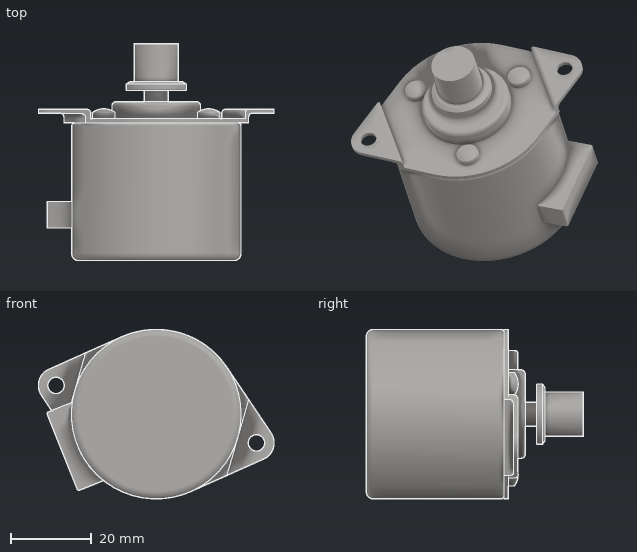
import cadquery as cq
import math


can_radius = 21.0
can_length = 34.1
can_front_fillet = 0.75
can_rear_fillet = 1.8

plate_thickness = 1.1
plate_tilt = 16.0
hole_spacing = 51.6
hole_diameter = 4.0
tab_end_radius = 4.4
tab_rear = 2.35
tab_front = tab_rear + plate_thickness
riser_outer = 21.0
riser_inner = riser_outer - plate_thickness
riser_fillet = 1.0
boss_radius = 11.0
boss_front = 5.3
boss_fillet = 1.1

shaft_radius = 3.0
pulley_radius = 5.5
pulley_end = 19.65
flange_radius = 7.5
flange_rear = 8.0
flange_thickness = 2.2
flange_chamfer_length = 0.6
flange_chamfer_width = 1.0
flange_rear_fillet = 0.4

screw_count = 3
screw_circle_radius = 15.0
screw_radius = 2.8
screw_rim_height = 1.5
screw_height = 2.45
screw_fillet = 0.4

connector_tilt = 21.8
connector_reach = 25.1
connector_width = 20.9
connector_front = -19.4
connector_depth = 6.6
connector_chamfer = 0.3


def rod(radius, start, end):
    """Cylinder on the motor axis between two Y positions."""
    return cq.Workplane("XZ", origin=(0, start, 0)).circle(radius).extrude(start - end)


def make_can():
    return (
        rod(can_radius, -can_length, 0)
        .faces(">Y").edges().fillet(can_front_fillet)
        .faces("<Y").edges().fillet(can_rear_fillet)
    )


def plate_outline():
    """Can-size disc joined by tangent lines to a rounded end at each hole, holes along X."""
    reach = hole_spacing / 2
    tangent_angle = math.acos((can_radius - tab_end_radius) / reach)
    across, up = math.cos(tangent_angle), math.sin(tangent_angle)
    disc_x, disc_z = can_radius * across, can_radius * up
    end_x, end_z = reach + tab_end_radius * across, tab_end_radius * up
    tip_x = reach + tab_end_radius
    return (
        cq.Workplane("XZ")
        .moveTo(-disc_x, disc_z)
        .threePointArc((0, can_radius), (disc_x, disc_z))
        .lineTo(end_x, end_z)
        .threePointArc((tip_x, 0), (end_x, -end_z))
        .lineTo(disc_x, -disc_z)
        .threePointArc((0, -can_radius), (-disc_x, -disc_z))
        .lineTo(-end_x, -end_z)
        .threePointArc((-tip_x, 0), (-end_x, end_z))
        .close()
        .extrude(-tab_front)
    )


def plate_section():
    """Sheet stepping forward at both ends, extruded through the whole height."""
    half_length = hole_spacing / 2 + tab_end_radius
    convex_start = riser_inner + riser_fillet
    concave_end = riser_outer + riser_fillet
    bend = riser_fillet * (1 - math.sqrt(0.5))
    return (
        cq.Workplane("XY")
        .lineTo(riser_outer, 0)
        .lineTo(riser_outer, tab_rear - riser_fillet)
        .threePointArc((riser_outer + bend, tab_rear - bend), (concave_end, tab_rear))
        .lineTo(half_length, tab_rear)
        .lineTo(half_length, tab_front)
        .lineTo(convex_start, tab_front)
        .threePointArc((riser_inner + bend, tab_front - bend), (riser_inner, tab_front - riser_fillet))
        .lineTo(riser_inner, plate_thickness)
        .lineTo(0, plate_thickness)
        .mirrorY()
        .extrude(can_radius, both=True)
    )


def make_plate():
    plate = plate_outline().intersect(plate_section())
    holes = (
        cq.Workplane("XZ")
        .pushPoints([(-hole_spacing / 2, 0), (hole_spacing / 2, 0)])
        .circle(hole_diameter / 2)
        .extrude(-tab_front)
    )
    boss = rod(boss_radius, 0, boss_front).faces(">Y").edges().fillet(boss_fillet)
    plate = plate.cut(holes).union(boss).cut(rod(shaft_radius, 0, boss_front))
    return plate.rotate((0, 0, 0), (0, 1, 0), plate_tilt)


def make_shaft():
    return rod(shaft_radius, 0, pulley_end)


def make_pulley():
    flange = (
        cq.Workplane("XY", origin=(0, flange_rear, 0))
        .lineTo(flange_radius, 0)
        .lineTo(flange_radius, flange_thickness - flange_chamfer_length)
        .lineTo(flange_radius - flange_chamfer_width, flange_thickness)
        .lineTo(0, flange_thickness)
        .close()
        .revolve(360, (0, 0, 0), (0, 1, 0))
        .faces("<Y").edges().fillet(flange_rear_fillet)
    )
    barrel = rod(pulley_radius, flange_rear, pulley_end)
    return flange.union(barrel).cut(rod(shaft_radius, flange_rear, pulley_end))


def make_screw(angle):
    """Domed screw head on the plate; the angle is measured from -Z around the axis."""
    rise = screw_height - screw_rim_height
    dome_radius = (screw_radius**2 + rise**2) / (2 * rise)
    half_radius = screw_radius / 2
    half_height = screw_height - dome_radius + math.sqrt(dome_radius**2 - half_radius**2)
    head = (
        cq.Workplane("XY")
        .lineTo(screw_radius, 0)
        .lineTo(screw_radius, screw_rim_height)
        .threePointArc((half_radius, half_height), (0, screw_height))
        .close()
        .revolve(360, (0, 0, 0), (0, 1, 0))
        .faces("%CYLINDER").edges(">Y")
        .fillet(screw_fillet)
    )
    placed = head.translate((0, plate_thickness, -screw_circle_radius))
    return placed.rotate((0, 0, 0), (0, 1, 0), angle)


def make_connector():
    """Block with chamfered outer corners, its inner side seated on the can wall."""
    block = (
        cq.Workplane("XY")
        .box(connector_reach, connector_depth, connector_width, centered=(False, False, True))
        .translate((-connector_reach, connector_front - connector_depth, 0))
        .faces("<X").edges("|Y").chamfer(connector_chamfer)
        .cut(rod(can_radius, -can_length, 0))
    )
    return block.rotate((0, 0, 0), (0, 1, 0), -connector_tilt)


can = make_can()
plate = make_plate()
shaft = make_shaft()
pulley = make_pulley()
screws = [make_screw(index * 360 / screw_count) for index in range(screw_count)]
connector = make_connector()

result = cq.Compound.makeCompound([
    can.val(),
    plate.val(),
    shaft.val(),
    pulley.val(),
    *[screw.val() for screw in screws],
    connector.val(),
])